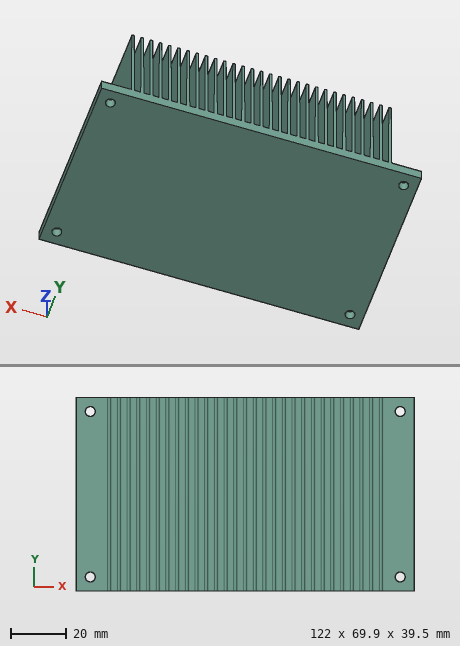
import cadquery as cq

base_length = 122.0
base_width = 69.9
base_thickness = 4.5

overall_height = 39.5
fin_count = 29
fin_pitch = 3.5
fin_root_thickness = 1.2
fin_tip_thickness = 1.0
root_radius = 0.5

hole_diameter = 3.5
hole_inset = 5.1


def draw_fin(outline, center_x):
    """Continue the outline up one side of a fin, over its round tip and down the other side."""
    half_root = fin_root_thickness / 2
    half_tip = fin_tip_thickness / 2
    tip_start = overall_height - half_tip
    return (
        outline.lineTo(center_x - half_root, base_thickness)
        .lineTo(center_x - half_tip, tip_start)
        .threePointArc((center_x, overall_height), (center_x + half_tip, tip_start))
        .lineTo(center_x + half_root, base_thickness)
    )


def make_finned_base():
    """Constant X-Z section, base plate plus centred fin row, extruded evenly about Y = 0."""
    half_length = base_length / 2
    first_fin_x = -fin_pitch * (fin_count - 1) / 2

    outline = cq.Workplane("XZ").moveTo(half_length, 0).lineTo(-half_length, 0)
    outline = outline.lineTo(-half_length, base_thickness)
    for index in range(fin_count):
        outline = draw_fin(outline, first_fin_x + index * fin_pitch)
    outline = outline.lineTo(half_length, base_thickness).close()
    return outline.extrude(base_width / 2, both=True)


def fillet_fin_roots(body):
    """Fillet both sides of every fin where it meets the base."""
    half_row = fin_pitch * fin_count / 2
    root_zone = cq.selectors.BoxSelector(
        (-half_row, -base_width, base_thickness - root_radius),
        (half_row, base_width, base_thickness + root_radius),
    )
    return body.edges("|Y").edges(root_zone).fillet(root_radius)


def cut_mounting_holes(body):
    """Four through holes, inset equally from both edges at each corner."""
    holes = (
        cq.Workplane("XY")
        .rect(base_length - 2 * hole_inset, base_width - 2 * hole_inset, forConstruction=True)
        .vertices()
        .circle(hole_diameter / 2)
        .extrude(base_thickness)
    )
    return body.cut(holes)


result = cut_mounting_holes(fillet_fin_roots(make_finned_base()))